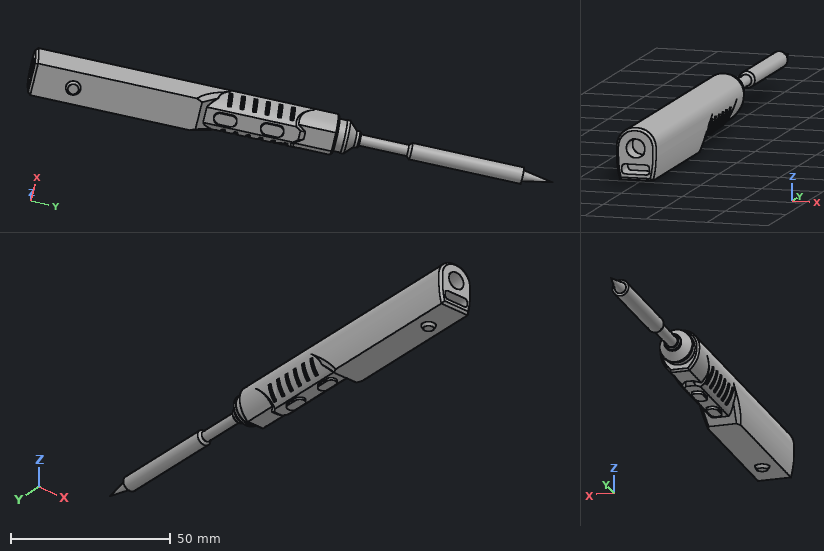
import cadquery as cq
import math


LENGTH = 168.0
HANDLE_FRONT = 98.1
NECK_FRONT = 100.6
NOSE_FRONT = 105.8

HANDLE_WIDTH = 13.0
TOTAL_HEIGHT = 17.8
HALF_WIDTH = HANDLE_WIDTH / 2
TOP_FLAT = 0.7
TOP_CORNER = (HANDLE_WIDTH - TOP_FLAT) / 2
SIDE_BOTTOM_Z = -2.7
SIDE_BULGE_RADIUS = 28.5
REAR_BOTTOM_Z = -10.2
FRONT_BULGE_RADIUS = 9.0
FRONT_CORNER_Z = -6.2
FRONT_BOTTOM_Z = -7.2
FRONT_BEVEL = 0.8
PANEL_BULGE_RADIUS = 11.1
PANEL_CORNER_Z = -7.5
PANEL_BOTTOM_Z = -8.2
PANEL_BEVEL = 0.8
FRONT_CHAMFER = 0.7
REAR_CHAMFER = 0.8

PANEL_REAR = 53.8
PANEL_FRONT = 89.5
PANEL_NOSE_TOP = 88.0
PANEL_NOSE_BOTTOM = 86.4
PANEL_RAMP_Z = -6.7
PANEL_RAMP_FRONT = 85.5
PANEL_RAMP_REAR = 84.5

STEP_TOP = 64.0
STEP_BOTTOM = 54.0
FLANK_TOP = 62.2
FLANK_INNER_HALF_WIDTH = 3.2
FLANK_INNER_Y = 56.8
RIM_TOP = 62.7
RIM_BOTTOM = 52.0
RIM_DEPTH = 0.8

SLOT_COUNT = 6
SLOT_PITCH = 4.0
SLOT_FIRST = 83.0
SLOT_WIDTH = 1.2
SLOT_TOP_Z = -1.5
SLOT_BOTTOM_Z = -6.9
SLOT_FLOOR_WIDTH = 0.5
SLOT_DEPTH = 0.3

JACK_RADIUS = 3.0
PORT_WIDTH = 9.0
PORT_HEIGHT = 3.2
PORT_CORNER = 1.2
PORT_Z = -6.7
SOCKET_DEPTH = 6.7

BUTTON_CENTERS = (77.6, 62.5)
BUTTON_LENGTH = 7.4
BUTTON_WIDTH = 3.7
BUTTON_BOTTOM_Z = -9.0
BUTTON_INSET = 0.8
BUTTON_TOP_Z = PANEL_BOTTOM_Z + BUTTON_INSET

STUD_Y = 13.5
STUD_RADIUS = 2.4
STUD_END_RADIUS = 1.7
STUD_BOTTOM_Z = HALF_WIDTH - TOTAL_HEIGHT
STUD_INSET = 1.0
STUD_TOP_Z = REAR_BOTTOM_Z + STUD_INSET

NOSE_RADIUS = 5.4
NECK_RADIUS = 5.2
COLLAR_RADIUS = 2.7
COLLAR_LENGTH = 1.5
COLLAR_CHAMFER = 0.5
CONE_LENGTH = NOSE_RADIUS - COLLAR_RADIUS

SHAFT_RADIUS = 1.8
SHAFT_END = 84.0
SLEEVE_RADIUS = 2.7
SLEEVE_REAR = 121.3
SLEEVE_BEVEL = 1.0
SLEEVE_FRONT = 158.3
POINT_RADIUS = 1.8

BLOCK = 100.8


def section(y_start):
    """Sketch plane across the handle; a negative extrusion runs towards +Y."""
    return cq.Workplane("XZ", origin=(0, y_start, 0))


def revolve_about_y(points):
    """Turn a closed (radius, y) outline about the Y axis."""
    return cq.Workplane("XY").polyline(points).close().revolve(360, (0, 0, 0), (0, 1, 0))


def inset(radius, drop):
    """How far an arc that starts upright has come inwards after a given drop."""
    return radius - math.sqrt(radius**2 - drop**2)


def block_beyond(a, b, c):
    """Large block on the side of plane a-b-c that its normal (b - a) x (c - a) points to."""
    a, b, c = cq.Vector(*a), cq.Vector(*b), cq.Vector(*c)
    plane = cq.Plane(origin=a, xDir=b - a, normal=(b - a).cross(c - a))
    return cq.Workplane(plane).rect(BLOCK, BLOCK).extrude(BLOCK)


def cut_both_sides(body, tool):
    """Cut with a tool and with its mirror image across the middle plane."""
    return body.cut(tool).cut(tool.mirror("YZ"))


def bulged_belly(y_start, y_end, radius, corner_z, bottom_z, bevel):
    """Lower handle part with bulged sides, bevelled into a flat bottom."""
    corner_x = HALF_WIDTH - inset(radius, -corner_z)
    middle_z = corner_z / 2
    middle_x = HALF_WIDTH - inset(radius, -middle_z)
    return (
        section(y_start)
        .moveTo(-HALF_WIDTH, 0)
        .lineTo(HALF_WIDTH, 0)
        .threePointArc((middle_x, middle_z), (corner_x, corner_z))
        .lineTo(corner_x - bevel, bottom_z)
        .lineTo(bevel - corner_x, bottom_z)
        .lineTo(-corner_x, corner_z)
        .threePointArc((-middle_x, middle_z), (-HALF_WIDTH, 0))
        .close()
        .extrude(y_start - y_end)
    )


def make_upper_shell():
    """Round-topped upper half over the full handle length."""
    upper_half = cq.Workplane("XY").box(
        HANDLE_WIDTH, 2 * HANDLE_FRONT, HANDLE_WIDTH, centered=(True, True, False)
    )
    return (
        section(0)
        .rect(2 * HALF_WIDTH, 2 * HALF_WIDTH)
        .extrude(-HANDLE_FRONT)
        .edges("|Y and >Z")
        .fillet(TOP_CORNER)
        .intersect(upper_half)
    )


def make_rear_belly():
    """Deep rear part, cut off in front by a slope with slanted flanks."""
    depth = SIDE_BOTTOM_Z - REAR_BOTTOM_Z
    bottom_x = HALF_WIDTH - inset(SIDE_BULGE_RADIUS, depth)
    middle = (HALF_WIDTH - inset(SIDE_BULGE_RADIUS, depth / 2), SIDE_BOTTOM_Z - depth / 2)
    belly = (
        section(0)
        .moveTo(-HALF_WIDTH, 0)
        .lineTo(HALF_WIDTH, 0)
        .lineTo(HALF_WIDTH, SIDE_BOTTOM_Z)
        .threePointArc(middle, (bottom_x, REAR_BOTTOM_Z))
        .lineTo(-bottom_x, REAR_BOTTOM_Z)
        .threePointArc((-middle[0], middle[1]), (-HALF_WIDTH, SIDE_BOTTOM_Z))
        .close()
        .extrude(-STEP_TOP)
    )
    slope = block_beyond((0, STEP_TOP, 0), (HALF_WIDTH, STEP_TOP, 0), (0, STEP_BOTTOM, REAR_BOTTOM_Z))
    panel_x = HALF_WIDTH - inset(PANEL_BULGE_RADIUS, -SIDE_BOTTOM_Z)
    flank = block_beyond(
        (panel_x, FLANK_TOP, SIDE_BOTTOM_Z),
        (bottom_x - RIM_DEPTH, STEP_BOTTOM, REAR_BOTTOM_Z),
        (FLANK_INNER_HALF_WIDTH, FLANK_INNER_Y, PANEL_BOTTOM_Z),
    )
    rim = block_beyond(
        (HALF_WIDTH, RIM_TOP, 0),
        (bottom_x, RIM_BOTTOM, REAR_BOTTOM_Z),
        (bottom_x - RIM_DEPTH, STEP_BOTTOM, REAR_BOTTOM_Z),
    )
    belly = belly.cut(slope)
    return cut_both_sides(cut_both_sides(belly, flank), rim)


def make_panel():
    """Grip panel that swells out of the front belly behind a slanted ramp."""
    panel = bulged_belly(
        PANEL_REAR, PANEL_FRONT, PANEL_BULGE_RADIUS, PANEL_CORNER_Z, PANEL_BOTTOM_Z, PANEL_BEVEL
    )
    low_x = HALF_WIDTH - inset(FRONT_BULGE_RADIUS, -PANEL_RAMP_Z)
    high_x = HALF_WIDTH - inset(PANEL_BULGE_RADIUS, -PANEL_RAMP_Z)
    ramp = block_beyond(
        (HALF_WIDTH, PANEL_FRONT, 0),
        (high_x, PANEL_RAMP_REAR, PANEL_RAMP_Z),
        (low_x, PANEL_RAMP_FRONT, PANEL_RAMP_Z),
    )
    end = block_beyond(
        (0, PANEL_NOSE_BOTTOM, PANEL_BOTTOM_Z),
        (0, PANEL_NOSE_TOP, FRONT_BOTTOM_Z),
        (HALF_WIDTH, PANEL_NOSE_BOTTOM, PANEL_BOTTOM_Z),
    )
    return cut_both_sides(panel.cut(end), ramp)


def cut_grip_slots(body):
    """Row of tapered grooves that follow the bulge on both sides of the grip panel."""
    axis_x = HALF_WIDTH - PANEL_BULGE_RADIUS
    start = math.degrees(math.asin(-SLOT_TOP_Z / PANEL_BULGE_RADIUS))
    end = math.degrees(math.asin(-SLOT_BOTTOM_Z / PANEL_BULGE_RADIUS))
    floor_x = HALF_WIDTH - SLOT_DEPTH
    groove = (
        cq.Workplane("XY")
        .polyline([
            (floor_x, -SLOT_FLOOR_WIDTH / 2),
            (HALF_WIDTH, -SLOT_WIDTH / 2),
            (HALF_WIDTH, SLOT_WIDTH / 2),
            (floor_x, SLOT_FLOOR_WIDTH / 2),
        ])
        .close()
        .revolve(end - start, (axis_x, 0, 0), (axis_x, 1, 0))
        .rotate((axis_x, 0, 0), (axis_x, 1, 0), start)
    )
    for index in range(SLOT_COUNT):
        y_center = SLOT_FIRST - index * SLOT_PITCH
        body = cut_both_sides(body, groove.translate((0, y_center, 0)))
    return body


def make_button(y_center):
    """Long rounded button, set into the grip panel."""
    return (
        cq.Workplane("XY", origin=(0, y_center, BUTTON_BOTTOM_Z))
        .slot2D(BUTTON_LENGTH, BUTTON_WIDTH, 90)
        .extrude(BUTTON_TOP_Z - BUTTON_BOTTOM_Z)
    )


def make_stud():
    """Round foot with a tapered end below the bottom face."""
    points = [
        (0, STUD_TOP_Z),
        (STUD_RADIUS, STUD_TOP_Z),
        (STUD_RADIUS, REAR_BOTTOM_Z),
        (STUD_END_RADIUS, STUD_BOTTOM_Z),
        (0, STUD_BOTTOM_Z),
    ]
    stud = cq.Workplane("XZ").polyline(points).close().revolve(360, (0, 0, 0), (0, 1, 0))
    return stud.translate((0, STUD_Y, 0))


def make_tip():
    """Heater tip: shaft plugged into the handle, sleeve and conical point."""
    return revolve_about_y([
        (0, SHAFT_END),
        (SHAFT_RADIUS, SHAFT_END),
        (SHAFT_RADIUS, SLEEVE_REAR),
        (SLEEVE_RADIUS, SLEEVE_REAR + SLEEVE_BEVEL),
        (SLEEVE_RADIUS, SLEEVE_FRONT),
        (POINT_RADIUS, SLEEVE_FRONT),
        (0, LENGTH),
    ])


def make_nose():
    """Conical nose ring with a collar, bored for the shaft of the tip."""
    cone_front = NOSE_FRONT - COLLAR_LENGTH
    return revolve_about_y([
        (SHAFT_RADIUS, NECK_FRONT),
        (NOSE_RADIUS, NECK_FRONT),
        (NOSE_RADIUS, cone_front - CONE_LENGTH),
        (COLLAR_RADIUS, cone_front),
        (COLLAR_RADIUS, NOSE_FRONT - COLLAR_CHAMFER),
        (COLLAR_RADIUS - COLLAR_CHAMFER, NOSE_FRONT),
        (SHAFT_RADIUS, NOSE_FRONT),
    ])


def make_rear_sockets():
    """Cutters for the round jack and the flat port in the rear face."""
    jack = section(0).circle(JACK_RADIUS).extrude(-SOCKET_DEPTH)
    port = (
        section(0)
        .center(0, PORT_Z)
        .rect(PORT_WIDTH, PORT_HEIGHT)
        .extrude(-SOCKET_DEPTH)
        .edges("|Y")
        .fillet(PORT_CORNER)
    )
    return jack.union(port)


def make_housing(inserts):
    """Handle with its neck, sockets and a matching recess for each inserted body."""
    front_belly = bulged_belly(
        PANEL_REAR, HANDLE_FRONT, FRONT_BULGE_RADIUS, FRONT_CORNER_Z, FRONT_BOTTOM_Z, FRONT_BEVEL
    )
    front = make_upper_shell().union(front_belly).faces(">Y").chamfer(FRONT_CHAMFER)
    handle = front.union(make_rear_belly()).faces("<Y").chamfer(REAR_CHAMFER)
    neck = section(HANDLE_FRONT).circle(NECK_RADIUS).extrude(HANDLE_FRONT - NECK_FRONT)
    housing = cut_grip_slots(handle.union(make_panel())).union(neck).cut(make_rear_sockets())
    for insert in inserts:
        housing = housing.cut(insert)
    return housing


tip = make_tip()
nose = make_nose()
stud = make_stud()
buttons = [make_button(y_center) for y_center in BUTTON_CENTERS]
housing = make_housing([tip, stud, *buttons])

result = cq.Compound.makeCompound([
    housing.val(),
    nose.val(),
    tip.val(),
    stud.val(),
    *[button.val() for button in buttons],
])